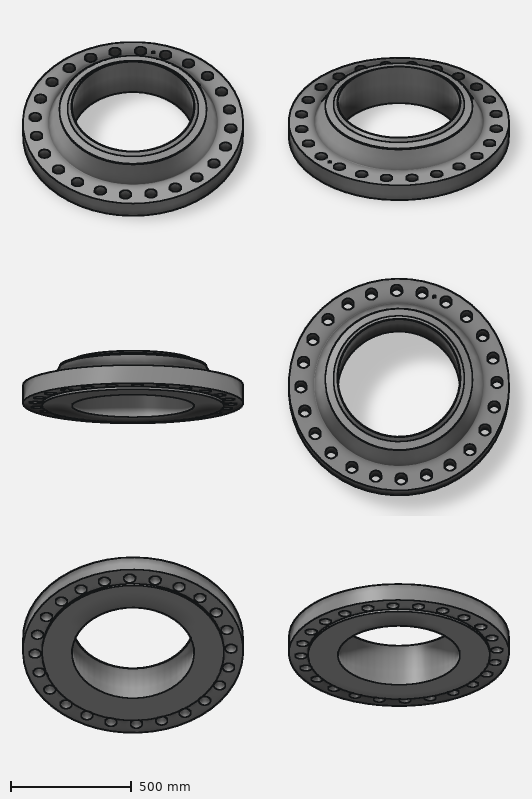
import cadquery as cq
import math

flange_radius = 457.0
flange_thickness = 76.0

raised_face_radius = 378.0
raised_face_height = 11.0

overall_height = 186.0
hub_base_radius = 351.0
hub_top_radius = 305.0
hub_lip_height = 5.5
hub_base_fillet = 4.0
shoulder_rise = 7.0
weld_end_radius = 271.5
weld_bevel_height = 12.0
weld_land_width = 3.0
bore_radius = 253.0

bolt_count = 24
bolt_circle_radius = 407.0
bolt_hole_diameter = 48.0

pin_hole_diameter = 12.0
pin_hole_depth = 18.0

flange_top = raised_face_height + flange_thickness
bevel_bottom = overall_height - weld_bevel_height
lip_top = bevel_bottom - shoulder_rise
lip_bottom = lip_top - hub_lip_height

bolt_pitch = 360 / bolt_count


def make_body():
    """Revolve the half section of flange, hub and bore about Z."""
    section = [
        (bore_radius, 0),
        (raised_face_radius, 0),
        (raised_face_radius, raised_face_height),
        (flange_radius, raised_face_height),
        (flange_radius, flange_top),
        (hub_base_radius, flange_top),
        (hub_top_radius, lip_bottom),
        (hub_top_radius, lip_top),
        (weld_end_radius, bevel_bottom),
        (bore_radius + weld_land_width, overall_height),
        (bore_radius, overall_height),
    ]
    body = cq.Workplane("XZ").polyline(section).close().revolve(360, (0, 0), (0, 1))
    hub_base_edge = cq.selectors.RadiusNthSelector(-3)
    return body.edges("%CIRCLE").edges(hub_base_edge).fillet(hub_base_fillet)


def cut_bolt_holes(body):
    """Drill the ring of through holes, the first one on the X axis."""
    holes = (
        cq.Workplane("XY")
        .polarArray(bolt_circle_radius, 0, 360, bolt_count)
        .circle(bolt_hole_diameter / 2)
        .extrude(flange_top)
    )
    return body.cut(holes)


def cut_pin_hole(body):
    """Drill the blind hole half a bolt pitch past the +Y bolt hole."""
    angle = math.radians(90 + bolt_pitch / 2)
    pin_hole = (
        cq.Workplane("XY", origin=(0, 0, flange_top))
        .center(bolt_circle_radius * math.cos(angle), bolt_circle_radius * math.sin(angle))
        .circle(pin_hole_diameter / 2)
        .extrude(-pin_hole_depth)
    )
    return body.cut(pin_hole)


result = cut_pin_hole(cut_bolt_holes(make_body()))